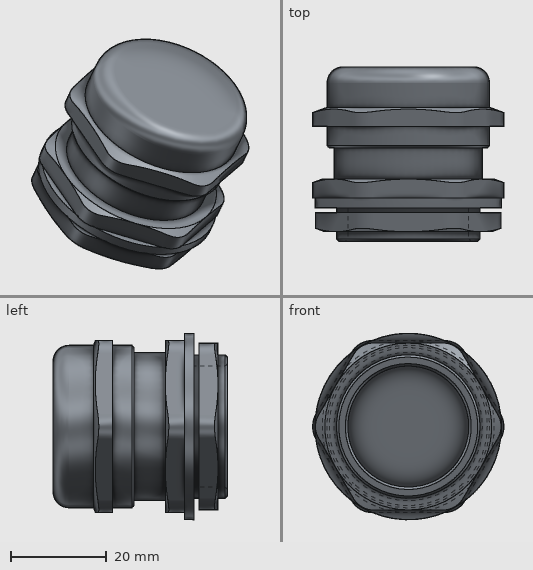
import cadquery as cq
import math


thread_diameter = 30.0
flange_diameter = 39.0
neck_diameter = 31.0
cap_diameter = 34.0
bore_diameter = 25.3

body_flats = 36.0
body_corners = 40.0
locknut_flats = 34.9
locknut_corners = 38.8
hex_thickness = 4.0
hex_bevel_angle = 20.0
bevel_clearance = 0.4

locknut_start = 2.0
flange_start = 7.0
flange_thickness = 2.0
body_hex_start = flange_start + flange_thickness
cap_start = 19.53
cap_hex_start = 24.0
cap_end = 36.5

thread_chamfer = 0.5
bore_chamfer = 0.52
cap_chamfer = 0.5
dome_radius = 3.4
bore_depth = 7.0


def disc(diameter, start, end):
    """Cylinder on the Y axis between two stations."""
    plane = cq.Workplane("XZ", origin=(0, start, 0))
    return plane.circle(diameter / 2).extrude(start - end)


def bevel_cone(corners, face_diameter, start, bevel_at_end):
    """Cylinder enclosing a hexagon, with a conical bevel down to face_diameter on one end."""
    end = start + hex_thickness
    outer_radius = corners / 2 + bevel_clearance
    face_radius = face_diameter / 2
    bevel_length = (outer_radius - face_radius) * math.tan(math.radians(hex_bevel_angle))
    if bevel_at_end:
        plain, bevel_edge, face = start, end - bevel_length, end
    else:
        plain, bevel_edge, face = end, start + bevel_length, start
    profile = [
        (0, plain),
        (outer_radius, plain),
        (outer_radius, bevel_edge),
        (face_radius, face),
        (0, face),
    ]
    return cq.Workplane("XY").polyline(profile).close().revolve(360, (0, 0), (0, 1))


def hexagon(flats, corners, face_diameter, start, bevel_at_end):
    """Hexagon with flats facing +Z and -Z, rounded corners and one bevelled face."""
    sharp_corners = flats / math.cos(math.pi / 6)
    corner_radius = (sharp_corners - corners) / 2 / (1 / math.cos(math.pi / 6) - 1)
    prism = (
        cq.Workplane("XZ", origin=(0, start, 0))
        .polygon(6, sharp_corners)
        .extrude(-hex_thickness)
        .edges("|Y")
        .fillet(corner_radius)
    )
    return prism.intersect(bevel_cone(corners, face_diameter, start, bevel_at_end))


stem = disc(thread_diameter, 0, body_hex_start).faces("<Y").chamfer(thread_chamfer)
flange = disc(flange_diameter, flange_start, body_hex_start)
body_hex = hexagon(body_flats, body_corners, body_flats, body_hex_start, True)
neck = disc(neck_diameter, body_hex_start, cap_start)

locknut = hexagon(locknut_flats, locknut_corners, locknut_flats, locknut_start, False)

cap = (
    disc(cap_diameter, cap_start, cap_end)
    .faces(">Y").edges().fillet(dome_radius)
    .faces("<Y").edges().chamfer(cap_chamfer)
)
cap_hex = hexagon(body_flats, body_corners, cap_diameter, cap_hex_start, True)

result = stem
for section in (flange, body_hex, neck, locknut, cap, cap_hex):
    result = result.union(section)

result = result.cut(disc(bore_diameter, 0, bore_depth))
bore_rim = cq.selectors.RadiusNthSelector(0)
result = result.faces("<Y").edges(bore_rim).chamfer(bore_chamfer)